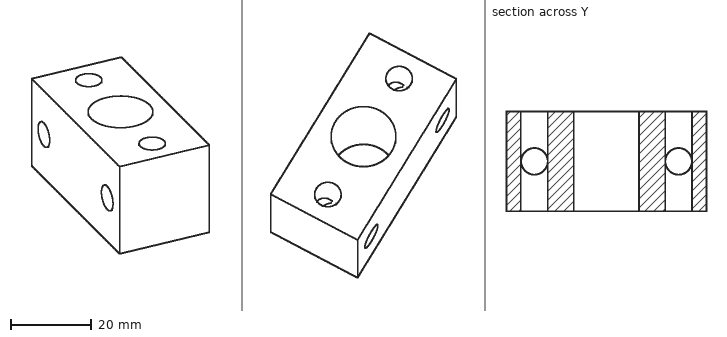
import cadquery as cq

length = 50
side = 25

bore_diameter = 16.2
bolt_diameter = 6.6
bolt_spacing = 36

bolt_positions = [(-bolt_spacing / 2, 0), (bolt_spacing / 2, 0)]


def drill_bolt_pair(body, face):
    """Drill two through holes, symmetric along X, from the given face."""
    return body.faces(face).workplane(origin=(0, 0, 0)).pushPoints(bolt_positions).hole(bolt_diameter)


block = cq.Workplane("XY").box(length, side, side)

block = block.faces(">Z").workplane(origin=(0, 0, 0)).hole(bore_diameter)

block = drill_bolt_pair(block, ">Z")
result = drill_bolt_pair(block, "<Y")